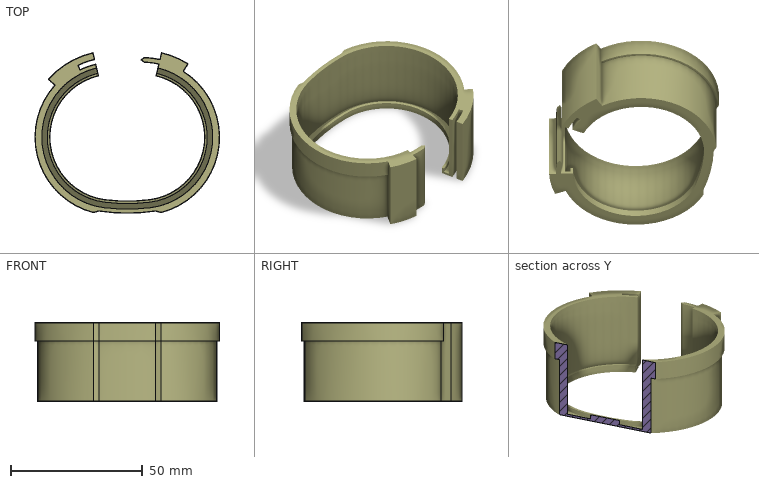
import cadquery as cq
import math

height = 30.0
half_width = 35.2
center_offset = 5.5
flat_drop = 0.35
flat_center_y = (center_offset**2 - flat_drop**2) / (2 * flat_drop)

rim_radius = half_width - center_offset
body_radius = 28.7
bore_radius = 27.1
groove_radius = 25.0
lip_radius = 24.0
rim_height = 7.0

flat_recess = 1.05
step_outer_x = 12.9
step_inner_x = 10.8

floor_thickness = 1.05
lip_height = 2.8

block_radius = 33.05
opening_angle = 13.2
left_block_angle = 48.1
right_block_angle = 32.3
slot_end_angle = 25.9
tongue_inner_radius = 28.55
tongue_outer_radius = 30.4
tongue_shoulder_angle = 2.0
tongue_tip_angle = -0.5
cut_reach = 2 * half_width


def polar(side, radius, angle):
    """Point about a side arc center; side is -1 (left) or +1 (right)."""
    turn = math.radians(angle)
    return (side * (center_offset + radius * math.sin(turn)), radius * math.cos(turn))


def side_arc_y(radius, x):
    return -math.sqrt(radius**2 - (x - center_offset) ** 2)


def flat_arc_y(bottom, x):
    return flat_center_y - math.sqrt((flat_center_y + bottom) ** 2 - x**2)


def tangent_x(radius):
    """X where the side arc runs smoothly into the flat arc."""
    return center_offset * (1 + radius / (flat_center_y + flat_drop))


def ring_outline(radius, recess=0.0):
    """Filled outline; a recess sinks the flat arc behind slanted steps."""
    bottom = radius + flat_drop - recess
    side_x = step_outer_x if recess else tangent_x(radius)
    flat_x = step_inner_x if recess else side_x
    side_y = side_arc_y(radius, side_x)
    flat_y = flat_arc_y(bottom, flat_x) if recess else side_y
    outline = (
        cq.Workplane("XY")
        .moveTo(-center_offset, radius)
        .lineTo(center_offset, radius)
        .threePointArc((center_offset + radius, 0), (side_x, side_y))
    )
    if recess:
        outline = outline.lineTo(flat_x, flat_y)
    outline = outline.threePointArc((0, -bottom), (-flat_x, flat_y))
    if recess:
        outline = outline.lineTo(-side_x, side_y)
    return outline.threePointArc((-center_offset - radius, 0), (-center_offset, radius)).close()


def sector(side, inner, outer, start, end):
    """Full-height piece of a ring between two angles."""
    middle = (start + end) / 2
    return (
        cq.Workplane("XY")
        .moveTo(*polar(side, inner, start))
        .lineTo(*polar(side, outer, start))
        .threePointArc(polar(side, outer, middle), polar(side, outer, end))
        .lineTo(*polar(side, inner, end))
        .threePointArc(polar(side, inner, middle), polar(side, inner, start))
        .close()
        .extrude(height)
    )


def make_shell():
    body = ring_outline(body_radius, flat_recess).extrude(height)
    rim = ring_outline(rim_radius, flat_recess).extrude(rim_height)
    rim = rim.translate((0, 0, height - rim_height))
    groove = ring_outline(bore_radius).extrude(height).translate((0, 0, floor_thickness))
    lip = ring_outline(groove_radius).extrude(lip_height)
    lip_opening = ring_outline(lip_radius).extrude(height)
    return body.union(rim).cut(groove).union(lip).cut(lip_opening)


def make_opening():
    corners = [
        polar(-1, 0, opening_angle),
        polar(-1, cut_reach, opening_angle),
        polar(1, cut_reach, opening_angle),
        polar(1, 0, opening_angle),
    ]
    return cq.Workplane("XY").polyline(corners).close().extrude(height)


def make_tongue():
    inner, outer = tongue_inner_radius, tongue_outer_radius
    tongue = sector(1, inner, outer, tongue_shoulder_angle, right_block_angle)
    tip = [
        polar(1, inner, tongue_shoulder_angle),
        polar(1, (inner + outer) / 2, tongue_tip_angle),
        polar(1, outer, tongue_shoulder_angle),
    ]
    return tongue.union(cq.Workplane("XY").polyline(tip).close().extrude(height))


left_block = sector(-1, bore_radius, block_radius, opening_angle, left_block_angle)
right_block = sector(1, bore_radius, block_radius, opening_angle, right_block_angle)
slot = sector(-1, tongue_inner_radius, tongue_outer_radius, 0, slot_end_angle)

result = make_shell().cut(make_opening()).union(left_block).union(right_block)
result = result.cut(slot).union(make_tongue())